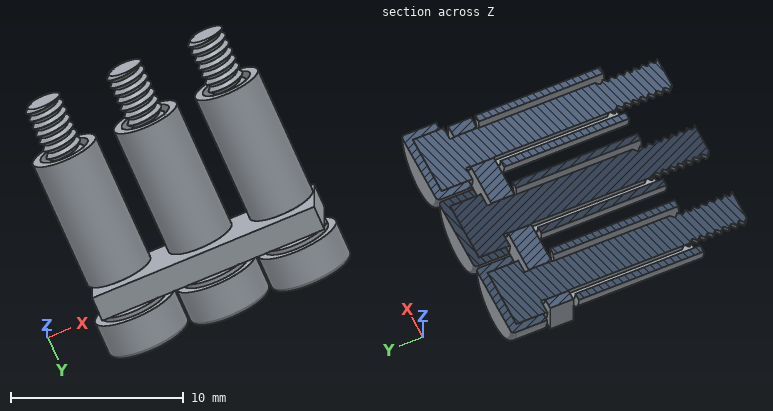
import cadquery as cq


screw_count = 3
screw_spacing = 5.12
shank_diameter = 2.25
head_diameter = 4.0
head_exposed = 0.25

tip_length = 3.25
exposed_turns = 6.5
thread_pitch = tip_length / exposed_turns
groove_turns = 8
groove_depth = 0.24
groove_overshoot = 0.008

cap_diameter = 5.01
cap_height = 2.25
cap_fillet = 0.25
cap_wall = (cap_diameter - head_diameter) / 2
recess_depth = cap_height - cap_wall

sleeve_diameter = head_diameter
sleeve_bore = 3.0
sleeve_length = 8.0

bar_length = 14.02
bar_thickness = 1.5
bar_height = 4.35
bar_offset = 0.08
bar_gap = 0.25

sleeve_start = tip_length
bar_start = sleeve_start + sleeve_length + bar_gap
head_start = bar_start + bar_thickness + bar_gap
cap_start = head_start + head_exposed

middle_index = (screw_count - 1) / 2
screw_positions = [(i - middle_index) * screw_spacing for i in range(screw_count)]


def cylinder_along_y(start, length, diameter):
    """Solid cylinder around the Y axis, running from Y = start in the +Y direction."""
    return cq.Workplane("XZ", origin=(0, start, 0)).circle(diameter / 2).extrude(-length)


def make_thread_groove():
    """Right-hand helical V cutter around the Y axis, with its groove bottom on the -X side at Y = 0."""
    root_radius = shank_diameter / 2 - groove_depth
    cutter_depth = groove_depth + groove_overshoot
    lead_in = thread_pitch
    helix = cq.Wire.makeHelix(thread_pitch, groove_turns * thread_pitch + lead_in, root_radius)
    profile = [
        (root_radius, 0),
        (root_radius + cutter_depth, cutter_depth),
        (root_radius + cutter_depth, -cutter_depth),
    ]
    groove = cq.Workplane("XZ").polyline(profile).close().sweep(cq.Workplane(obj=helix), isFrenet=True)
    groove = groove.translate((0, 0, -lead_in)).rotate((0, 0, 0), (0, 0, 1), 180)
    return groove.rotate((0, 0, 0), (1, 0, 0), -90)


def make_screw():
    """Screw with a cylindrical head, a plain shank and a threaded tip."""
    shank = cylinder_along_y(0, head_start, shank_diameter).cut(make_thread_groove())
    head = cylinder_along_y(head_start, head_exposed + recess_depth, head_diameter)
    return shank.union(head)


def make_cap():
    """Rounded cap with a blind recess that fits the screw head."""
    cap = cylinder_along_y(cap_start, cap_height, cap_diameter)
    cap = cap.faces(">Y").edges().fillet(cap_fillet)
    return cap.cut(cylinder_along_y(cap_start, recess_depth, head_diameter))


def make_sleeve():
    """Spacer tube with a through bore, clear of the screw."""
    tube = cylinder_along_y(sleeve_start, sleeve_length, sleeve_diameter)
    return tube.cut(cylinder_along_y(sleeve_start, sleeve_length, sleeve_bore))


def make_bar():
    """Rectangular bar with one hole that fits the shank of each screw."""
    bar = cq.Workplane("XY").box(bar_length, bar_thickness, bar_height)
    bar = bar.translate((bar_offset, bar_start + bar_thickness / 2, 0))
    hole = cylinder_along_y(bar_start, bar_thickness, shank_diameter)
    for x in screw_positions:
        bar = bar.cut(hole.translate((x, 0, 0)))
    return bar


def copy_to_positions(body):
    """One separate solid of the body at each screw position."""
    return [body.translate((x, 0, 0)).solids().val() for x in screw_positions]


bar = make_bar().solids().val()
screws = copy_to_positions(make_screw())
caps = copy_to_positions(make_cap())
sleeves = copy_to_positions(make_sleeve())

result = cq.Compound.makeCompound([bar, *screws, *caps, *sleeves])